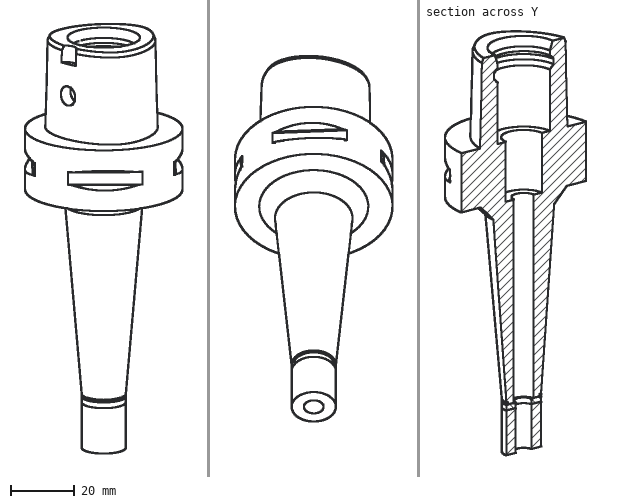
import cadquery as cq
import math

TOTAL_LENGTH = 135.0

SPIGOT_HEIGHT = 30.0
SPIGOT_BASE_RADIUS = 17.8
SPIGOT_TAPER = 1 / 40
LOBE_HEIGHT = 1.0
CURVE_POINTS = 24
CHAMFER_HEIGHT = 1.5
CHAMFER_WIDTH = 0.7

FLANGE_RADIUS = 25.0
FLANGE_HEIGHT = 20.0
SLOT_COUNT = 4
SLOT_FLOOR_DISTANCE = 22.0
SLOT_FLANK_DISTANCE = 22.7
SLOT_FLOOR_HEIGHT = 4.2
SLOT_MOUTH_HEIGHT = 6.5

CONE_HEIGHT = 5.0
CONE_TOP_RADIUS = 17.3
SHAFT_TOP_RADIUS = 12.3
SHAFT_END_RADIUS = 7.0
NECK_RADIUS = 6.5
NECK_HEIGHT = 0.8

RING_HEIGHT = 1.9
TIP_HEIGHT = 15.0
SLEEVE_RADIUS = SHAFT_END_RADIUS
SLEEVE_BORE_RADIUS = 3.1

MOUTH_RADIUS = 11.5
MOUTH_DEPTH = 3.1
SOCKET_RADIUS = 10.4
GROOVE_RADIUS = 11.9
GROOVE_START_DEPTH = 4.7
GROOVE_END_DEPTH = 9.5
MIDDLE_BORE_RADIUS = 7.2
SHAFT_BORE_RADIUS = 3.9

NOTCH_RADIUS = 3.4
NOTCH_DEPTH = 5.4
NOTCH_CENTRE_DISTANCE = 17.4
POCKET_RADIUS = 3.1
POCKET_DEPTH_FROM_TOP = 15.8
POCKET_FLOOR_DISTANCE = 12.0

TOP_Z = SPIGOT_HEIGHT
FLANGE_BOTTOM_Z = -FLANGE_HEIGHT
SHAFT_TOP_Z = FLANGE_BOTTOM_Z - CONE_HEIGHT
TIP_BOTTOM_Z = TOP_Z - TOTAL_LENGTH
RING_BOTTOM_Z = TIP_BOTTOM_Z + TIP_HEIGHT
NECK_BOTTOM_Z = RING_BOTTOM_Z + RING_HEIGHT
SHAFT_END_Z = NECK_BOTTOM_Z + NECK_HEIGHT


def trilobe_wire(mean_radius, z):
    """Closed three-lobed curve of constant width, with one lobe towards +Y."""

    def point(turn):
        angle = turn * 2 * math.pi
        along = mean_radius * math.cos(angle) - 2 * LOBE_HEIGHT * math.cos(2 * angle)
        across = mean_radius * math.sin(angle) + 2 * LOBE_HEIGHT * math.sin(2 * angle)
        along += LOBE_HEIGHT * math.cos(4 * angle)
        across += LOBE_HEIGHT * math.sin(4 * angle)
        return cq.Vector(across, -along, z)

    points = [point(step / CURVE_POINTS) for step in range(CURVE_POINTS)]
    return cq.Wire.assembleEdges([cq.Edge.makeSpline(points, periodic=True)])


def make_spigot():
    """Tapered trilobe with a chamfered top edge."""
    chamfer_z = TOP_Z - CHAMFER_HEIGHT
    chamfer_radius = SPIGOT_BASE_RADIUS - SPIGOT_TAPER * chamfer_z
    sections = [
        trilobe_wire(SPIGOT_BASE_RADIUS, 0),
        trilobe_wire(chamfer_radius, chamfer_z),
        trilobe_wire(chamfer_radius - CHAMFER_WIDTH, TOP_Z),
    ]
    return cq.Workplane(cq.Solid.makeLoft(sections, True))


def revolve_profile(points):
    """Solid of revolution about Z from (radius, z) points."""
    return cq.Workplane("XZ").polyline(points).close().revolve(360, (0, 0), (0, 1))


def make_lower_holder():
    """Flange, cone, tapered shaft and the short neck at its end."""
    return revolve_profile([
        (0, 0),
        (FLANGE_RADIUS, 0),
        (FLANGE_RADIUS, FLANGE_BOTTOM_Z),
        (CONE_TOP_RADIUS, FLANGE_BOTTOM_Z),
        (SHAFT_TOP_RADIUS, SHAFT_TOP_Z),
        (SHAFT_END_RADIUS, SHAFT_END_Z),
        (NECK_RADIUS, SHAFT_END_Z),
        (NECK_RADIUS, NECK_BOTTOM_Z),
        (0, NECK_BOTTOM_Z),
    ])


def bore_cutter():
    """Conical mouth, socket with a 45 degree flanked groove, then two smaller bores."""
    flank = GROOVE_RADIUS - SOCKET_RADIUS
    return revolve_profile([
        (0, TOP_Z),
        (MOUTH_RADIUS, TOP_Z),
        (SOCKET_RADIUS, TOP_Z - MOUTH_DEPTH),
        (SOCKET_RADIUS, TOP_Z - GROOVE_START_DEPTH),
        (GROOVE_RADIUS, TOP_Z - GROOVE_START_DEPTH - flank),
        (GROOVE_RADIUS, TOP_Z - GROOVE_END_DEPTH + flank),
        (SOCKET_RADIUS, TOP_Z - GROOVE_END_DEPTH),
        (SOCKET_RADIUS, 0),
        (MIDDLE_BORE_RADIUS, 0),
        (MIDDLE_BORE_RADIUS, FLANGE_BOTTOM_Z),
        (SHAFT_BORE_RADIUS, FLANGE_BOTTOM_Z),
        (SHAFT_BORE_RADIUS, NECK_BOTTOM_Z),
        (0, NECK_BOTTOM_Z),
    ])


def notch_cutter():
    """Upright round-backed notch in the spigot's top edge."""
    return (
        cq.Workplane("XY", origin=(0, -NOTCH_CENTRE_DISTANCE, TOP_Z - NOTCH_DEPTH))
        .circle(NOTCH_RADIUS)
        .extrude(NOTCH_DEPTH)
    )


def pocket_cutter():
    """Flat-bottomed round pocket entering from -Y."""
    return (
        cq.Workplane("XZ", origin=(0, -POCKET_FLOOR_DISTANCE, TOP_Z - POCKET_DEPTH_FROM_TOP))
        .circle(POCKET_RADIUS)
        .extrude(SPIGOT_BASE_RADIUS - POCKET_FLOOR_DISTANCE)
    )


def slot_cutter(angle):
    """Straight flat-floored slot across the rim, with sides that widen near its mouth."""
    middle_z = FLANGE_BOTTOM_Z / 2
    half_floor = SLOT_FLOOR_HEIGHT / 2
    half_mouth = SLOT_MOUTH_HEIGHT / 2
    return (
        cq.Workplane("XZ", origin=(0, 0, middle_z))
        .polyline([
            (SLOT_FLOOR_DISTANCE, -half_floor),
            (SLOT_FLANK_DISTANCE, -half_floor),
            (FLANGE_RADIUS, -half_mouth),
            (FLANGE_RADIUS, half_mouth),
            (SLOT_FLANK_DISTANCE, half_floor),
            (SLOT_FLOOR_DISTANCE, half_floor),
        ])
        .close()
        .extrude(FLANGE_RADIUS, both=True)
        .rotate((0, 0, 0), (0, 0, 1), angle)
    )


def make_holder():
    """Spigot, flange and shaft as one body, with all their cuts."""
    holder = make_lower_holder().union(make_spigot())
    holder = holder.cut(bore_cutter()).cut(notch_cutter()).cut(pocket_cutter())
    slot_pitch = 360 / SLOT_COUNT
    for index in range(SLOT_COUNT):
        holder = holder.cut(slot_cutter((index + 0.5) * slot_pitch))
    return holder


def make_sleeve(bottom_z, height):
    """Plain bored cylinder standing on bottom_z."""
    return (
        cq.Workplane("XY", origin=(0, 0, bottom_z))
        .circle(SLEEVE_RADIUS)
        .circle(SLEEVE_BORE_RADIUS)
        .extrude(height)
    )


holder = make_holder()
ring = make_sleeve(RING_BOTTOM_Z, RING_HEIGHT)
tip = make_sleeve(TIP_BOTTOM_Z, TIP_HEIGHT)

result = cq.Compound.makeCompound([holder.val(), ring.val(), tip.val()])